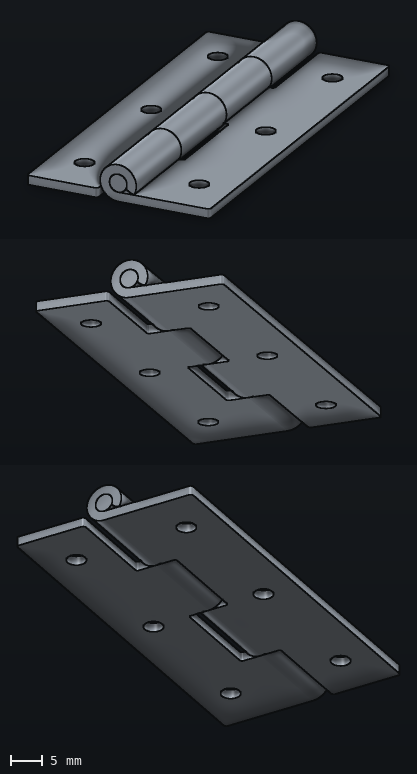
import cadquery as cq
import math

length = 65.0
width = 32.0
barrel_diameter = 6.3
thickness = 1.6

knuckle_count = 4
notch_edge = 3.6
corner_radius = 0.5
notch_corner_radius = 0.4

curl_inner_angle = -26.0
curl_outer_angle = -27.5
curl_bulge_angle = -31.0
curl_bulge_radius = 2.2

hole_diameter = 3.2
hole_offset = 10.0
hole_pitch = 24.0
holes_per_leaf = 3

barrel_radius = barrel_diameter / 2
pin_radius = barrel_radius - thickness
knuckle_length = length / knuckle_count
half_width = width / 2


def polar(radius, degrees):
    angle = math.radians(degrees)
    return (radius * math.cos(angle), radius * math.sin(angle))


def rolled_strip():
    """Full-length flat plate whose inner edge is rolled around the pin."""
    middle_angle = 135
    return (
        cq.Workplane("XZ", origin=(0, length / 2, 0))
        .moveTo(half_width, -barrel_radius)
        .lineTo(0, -barrel_radius)
        .threePointArc(polar(barrel_radius, middle_angle), polar(barrel_radius, curl_outer_angle))
        .threePointArc(
            polar(curl_bulge_radius, curl_bulge_angle),
            polar(pin_radius, curl_inner_angle),
        )
        .threePointArc(polar(pin_radius, middle_angle), (0, -pin_radius))
        .lineTo(half_width, -pin_radius)
        .close()
        .extrude(length)
        .edges("|Z and >X")
        .fillet(corner_radius)
    )


def notch(index):
    """Clearance for the other leaf's knuckle, counted from the -Y end."""
    start = -length / 2 + index * knuckle_length
    end = start + knuckle_length
    center = (start + end) / 2
    block = (
        cq.Workplane("XY")
        .box(notch_edge + barrel_radius, knuckle_length, barrel_diameter)
        .translate(((notch_edge - barrel_radius) / 2, center, 0))
    )
    if index < knuckle_count - 1:
        return block.edges("|Z and >X").fillet(notch_corner_radius)
    block = block.edges("|Z and >X and <Y").fillet(notch_corner_radius)
    corner_square = (
        cq.Workplane("XY")
        .box(corner_radius, corner_radius, barrel_diameter)
        .translate((notch_edge + corner_radius / 2, end - corner_radius / 2, 0))
    )
    corner_round = (
        cq.Workplane("XY")
        .center(notch_edge + corner_radius, end - corner_radius)
        .circle(corner_radius)
        .extrude(barrel_radius, both=True)
    )
    return block.union(corner_square.cut(corner_round))


def screw_holes():
    return (
        cq.Workplane("XY")
        .center(hole_offset, 0)
        .rarray(0.65, hole_pitch, 1, holes_per_leaf)
        .circle(hole_diameter / 2)
        .extrude(-barrel_radius)
    )


def leaf():
    """Leaf on the +X side, with a knuckle at its -Y end."""
    body = rolled_strip()
    for index in range(1, knuckle_count, 2):
        body = body.cut(notch(index))
    return body.cut(screw_holes())


def hinge_pin():
    return cq.Workplane("XZ").circle(pin_radius).extrude(length / 2, both=True)


leaves = [leaf().rotate((0, 0, 0), (0, 0, 1), angle) for angle in (0, 180)]
pin = hinge_pin()

result = cq.Compound.makeCompound([*(body.val() for body in leaves), pin.val()])